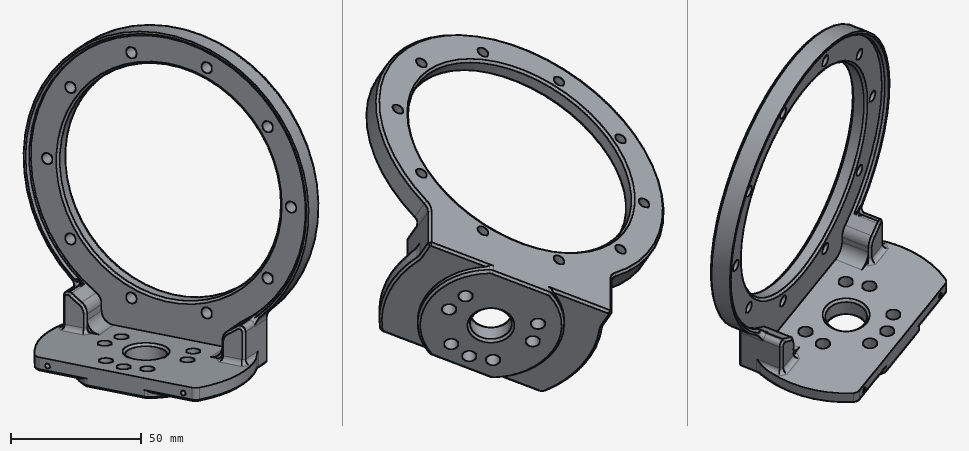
import cadquery as cq
import math


TOTAL_HEIGHT = 133.5
BACK_Y = 25.0
FRONT_Y = -24.7

CHAMFER = 1.0
BASE_FILLET = 2.0
BLEND_RADIUS = 5.1
CORNER_RADIUS = 3.0

MARGIN = 0.1

RING_DIAMETER = 124.0
RING_RADIUS = RING_DIAMETER / 2
RING_BORE_RADIUS = 48.0
RING_THICKNESS = 9.0
RECESS_RADIUS = 60.1
RECESS_DEPTH = 2.4
RING_HOLE_COUNT = 10
RING_HOLE_CIRCLE_RADIUS = 53.0
RING_HOLE_DIAMETER = 4.5
RING_CENTER_Z = TOTAL_HEIGHT - RING_RADIUS
RING_FRONT_Y = BACK_Y - RING_THICKNESS
RING_FACE_Y = RING_FRONT_Y + RECESS_DEPTH

FOOT_RADIUS = 42.7
FOOT_BOTTOM_Z = 2.7
FOOT_TOP_Z = 8.5
BOSS_RADIUS = 28.0
HALF_WIDTH = 39.5
FOOT_BORE_DIAMETER = 16.0
FOOT_HOLE_CIRCLE_RADIUS = 18.0
FOOT_HOLE_DIAMETER = 5.5
FOOT_HOLE_ANGLES = (0, 30, 150, 180, 240, 270, 300)

EDGE_HOLE_X = 29.5
EDGE_HOLE_Z = 5.6
EDGE_HOLE_DIAMETER = 2.0
EDGE_HOLE_DEPTH = 10.0
DRILL_TIP_ANGLE = 118

POST_INNER_X = 29.4
POST_TOP_Z = 23.8
POST_FRONT_Y = 5.9
RIM_CHAMFER = 0.47


def y_cylinder(radius, front_y, back_y):
    """Cylinder centred on the ring axis."""
    plane = cq.Workplane("XZ", origin=(0, back_y, RING_CENTER_Z))
    return plane.circle(radius).extrude(back_y - front_y)


def block(x_range, y_range, z_range):
    """Box between the given limits."""
    sizes = [high - low for low, high in (x_range, y_range, z_range)]
    corner = (x_range[0], y_range[0], z_range[0])
    return cq.Workplane("XY").box(*sizes, centered=False).translate(corner)


def edges_near(x_range, y_range, z_range):
    """Selector for the edges whose centre lies within the given limits or just outside them."""
    low, high = zip(*[(start - MARGIN, end + MARGIN) for start, end in (x_range, y_range, z_range)])
    return cq.selectors.BoxSelector(low, high)


def cove_section(plane, radius):
    """Section of a concave fillet in the corner at the plane's origin."""
    middle = radius * (1 - math.sqrt(0.5))
    return (
        cq.Workplane(plane)
        .lineTo(radius, 0)
        .threePointArc((middle, middle), (0, radius))
        .close()
    )


def both_sides(body):
    """The body together with its mirror image across the YZ plane."""
    return body.union(body.mirror("YZ"))


def chamfered_bore_tool(radius, length):
    """Cutter along Z from the origin for a through bore with both rims chamfered."""
    rim_radius = radius + CHAMFER
    return (
        cq.Workplane("XZ")
        .polyline(
            [
                (0, 0),
                (rim_radius, 0),
                (radius, CHAMFER),
                (radius, length - CHAMFER),
                (rim_radius, length),
                (0, length),
            ]
        )
        .close()
        .revolve(360, (0, 0), (0, 1))
    )


def flat_sided_disc(radius, bottom_z, top_z):
    """Disc trimmed by the front and back planes of the part."""
    disc = cq.Workplane("XY").workplane(offset=bottom_z).circle(radius).extrude(top_z - bottom_z)
    return disc.intersect(block((-radius, radius), (FRONT_Y, BACK_Y), (bottom_z, top_z)))


def foot_blank(top_z):
    """Foot outline, a disc widened to a square back, from the foot underside up to top_z."""
    disc = flat_sided_disc(FOOT_RADIUS, FOOT_BOTTOM_Z, top_z)
    square_back = block((-HALF_WIDTH, HALF_WIDTH), (0, BACK_Y), (FOOT_BOTTOM_Z, top_z))
    junction_y = math.sqrt(FOOT_RADIUS**2 - HALF_WIDTH**2)
    disc = disc.cut(block((-FOOT_RADIUS, FOOT_RADIUS), (junction_y, BACK_Y), (FOOT_BOTTOM_Z, top_z)))
    blank = disc.union(square_back)
    whole_x = (-FOOT_RADIUS, FOOT_RADIUS)
    whole_z = (FOOT_BOTTOM_Z, top_z)
    at_junction = edges_near(whole_x, (junction_y, junction_y), whole_z)
    blank = blank.edges("|Z").edges(at_junction).fillet(BLEND_RADIUS)
    at_front = edges_near(whole_x, (FRONT_Y, FRONT_Y), whole_z)
    return blank.edges("|Z").edges(at_front).fillet(CORNER_RADIUS)


def make_foot():
    """Foot plate with the shallower round boss under it."""
    plate = foot_blank(FOOT_TOP_Z).edges("|Z and >Y").chamfer(CHAMFER)
    plate = plate.faces("<Z").edges().chamfer(CHAMFER)
    boss = flat_sided_disc(BOSS_RADIUS, 0, FOOT_TOP_Z).edges("|Z").fillet(CORNER_RADIUS)
    return plate.union(boss.faces("<Z").edges().chamfer(CHAMFER))


def upright_blank(front_y):
    """Ring disc merged with the square back of the foot, from front_y to the back plane."""
    disc = y_cylinder(RING_RADIUS, front_y, BACK_Y)
    stem = block((-HALF_WIDTH, HALF_WIDTH), (front_y, BACK_Y), (FOOT_TOP_Z, RING_CENTER_Z))
    junction_z = RING_CENTER_Z - math.sqrt(RING_RADIUS**2 - HALF_WIDTH**2)
    whole_x = (-RING_RADIUS, RING_RADIUS)
    at_junction = edges_near(whole_x, (front_y, BACK_Y), (junction_z, junction_z))
    return disc.union(stem).edges("|Y").edges(at_junction).fillet(BLEND_RADIUS)


def recess_tool(front_y):
    """Space inside the ring lip and between the posts, from front_y back to the ring face."""
    disc = y_cylinder(RECESS_RADIUS, front_y, RING_FACE_Y)
    whole_y = (front_y, RING_FACE_Y)
    between_posts = block((-POST_INNER_X, POST_INNER_X), whole_y, (FOOT_TOP_Z, RING_CENTER_Z))
    junction_z = RING_CENTER_Z - math.sqrt(RECESS_RADIUS**2 - POST_INNER_X**2)
    at_junction = edges_near((-RECESS_RADIUS, RECESS_RADIUS), whole_y, (junction_z, junction_z))
    return disc.union(between_posts).edges("|Y").edges(at_junction).fillet(BLEND_RADIUS)


def make_upright():
    """Ring and its stem, with the face recessed inside a chamfered lip."""
    upright = upright_blank(RING_FRONT_Y)
    upright = upright.faces(">Y").edges("not <Z").chamfer(CHAMFER)
    upright = upright.cut(recess_tool(RING_FRONT_Y))
    lip_chamfer = cq.Solid.makeCone(
        RECESS_RADIUS + CHAMFER,
        RECESS_RADIUS,
        CHAMFER,
        pnt=cq.Vector(0, RING_FRONT_Y, RING_CENTER_Z),
        dir=cq.Vector(0, 1, 0),
    )
    upright = upright.cut(cq.Workplane(lip_chamfer))
    bore = chamfered_bore_tool(RING_BORE_RADIUS, BACK_Y - RING_FACE_Y)
    bore = bore.rotate((0, 0, 0), (1, 0, 0), 90).translate((0, BACK_Y, RING_CENTER_Z))
    return upright.cut(bore)


def post_column():
    """Post on the -X side with its edges broken, without the fillets that join it to its neighbours."""
    whole_y = (POST_FRONT_Y, RING_FACE_Y)
    column = block((-HALF_WIDTH, 0), whole_y, (FOOT_TOP_Z, POST_TOP_Z))
    column = column.edges("<X and >Z").fillet(BASE_FILLET)
    column = column.cut(recess_tool(POST_FRONT_Y))

    rim_x = -math.sqrt(RECESS_RADIUS**2 - (RING_CENTER_Z - POST_TOP_Z) ** 2)
    at_rim = edges_near((rim_x, rim_x), whole_y, (POST_TOP_Z, POST_TOP_Z))
    column = column.edges("|Y").edges(at_rim).chamfer(RIM_CHAMFER)
    return column.faces("<Y").edges("not <Z").chamfer(CHAMFER)


def add_base_fillet(column):
    """Fillet the foot of the column on an oversize floor, then trim to the foot outline."""
    floor_z = (FOOT_BOTTOM_Z, FOOT_TOP_Z)
    floor = block((-2 * FOOT_RADIUS, 0), (FRONT_Y, RING_FACE_Y), floor_z)
    at_floor = edges_near(
        (-HALF_WIDTH, -POST_INNER_X), (POST_FRONT_Y, RING_FRONT_Y), (FOOT_TOP_Z, FOOT_TOP_Z)
    )
    filleted = column.union(floor).edges(at_floor).fillet(BASE_FILLET)
    above_chamfer = (FOOT_TOP_Z - CHAMFER, POST_TOP_Z)
    trim = block((-FOOT_RADIUS, 0), (FRONT_Y, BACK_Y), above_chamfer)
    return filleted.intersect(foot_blank(POST_TOP_Z)).intersect(trim)


def wall_cove():
    """Large cove between the inner wall of the post and the foot."""
    plane = cq.Plane((-POST_INNER_X, RING_FACE_Y, FOOT_TOP_Z), xDir=(1, 0, 0), normal=(0, -1, 0))
    return cove_section(plane, BLEND_RADIUS).extrude(RING_FACE_Y - POST_FRONT_Y - CHAMFER)


def lip_cove():
    """Small cove from the ring lip round the top of the post, kept inside the upright's outline."""
    corner_x = -HALF_WIDTH + BASE_FILLET
    plane = cq.Plane((corner_x, RING_FRONT_Y, POST_TOP_Z), xDir=(0, 0, 1), normal=(1, 0, 0))
    straight = cove_section(plane, BASE_FILLET).extrude(-corner_x)
    corner_axis = ((-BASE_FILLET, 0), (-BASE_FILLET, 1))
    around_corner = cove_section(plane, BASE_FILLET).revolve(360, *corner_axis)
    strip = straight.union(around_corner).intersect(upright_blank(POST_FRONT_Y))
    return strip.cut(y_cylinder(RECESS_RADIUS, POST_FRONT_Y, BACK_Y))


def make_post():
    """Post on the -X side, blended into the foot and the ring lip."""
    return add_base_fillet(post_column()).union(wall_cove()).union(lip_cove())


def ring_holes():
    """Circle of through holes in the ring."""
    holes = cq.Workplane("XZ", origin=(0, BACK_Y, RING_CENTER_Z))
    holes = holes.polarArray(RING_HOLE_CIRCLE_RADIUS, 0, 360, RING_HOLE_COUNT)
    return holes.circle(RING_HOLE_DIAMETER / 2).extrude(RING_THICKNESS)


def foot_holes():
    """Chamfered bore of the foot and the smaller through holes around it."""
    tools = chamfered_bore_tool(FOOT_BORE_DIAMETER / 2, FOOT_TOP_Z)
    for angle in FOOT_HOLE_ANGLES:
        x = FOOT_HOLE_CIRCLE_RADIUS * math.cos(math.radians(angle))
        y = FOOT_HOLE_CIRCLE_RADIUS * math.sin(math.radians(angle))
        hole = cq.Workplane("XY").center(x, y).circle(FOOT_HOLE_DIAMETER / 2).extrude(FOOT_TOP_Z)
        tools = tools.union(hole)
    return tools


def edge_hole():
    """Blind hole with a drill tip, on the -X side."""
    radius = EDGE_HOLE_DIAMETER / 2
    tip = radius / math.tan(math.radians(DRILL_TIP_ANGLE / 2))
    half_section = cq.Workplane("XY", origin=(-EDGE_HOLE_X, FRONT_Y, EDGE_HOLE_Z)).polyline(
        [(0, 0), (radius, 0), (radius, EDGE_HOLE_DEPTH), (0, EDGE_HOLE_DEPTH + tip)]
    )
    return half_section.close().revolve(360, (0, 0), (0, 1))


body = make_foot().union(make_upright()).union(both_sides(make_post()))
result = body.cut(ring_holes()).cut(foot_holes()).cut(both_sides(edge_hole()))